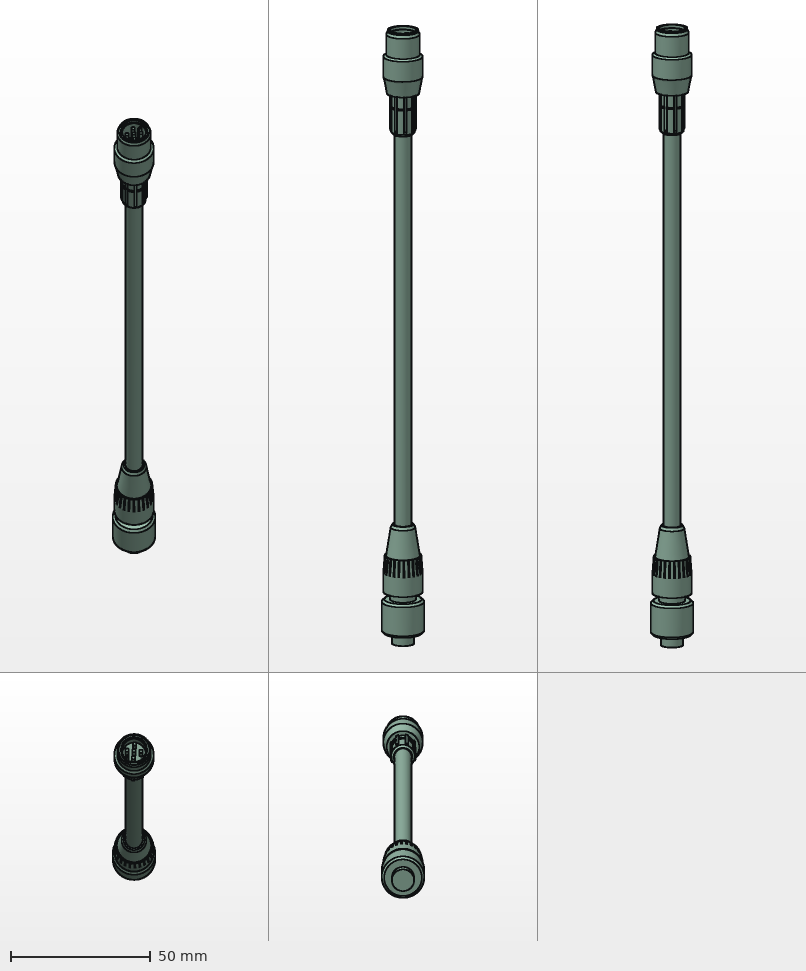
import cadquery as cq

length = 228.6
cable_diameter = 6.2

rim_diameter = 11.0
rim_height = 0.5
rim_chamfer_height = 1.1
barrel_diameter = 12.1
barrel_bottom = 219.5
collar_diameter = 14.2
collar_chamfer_height = 0.7
collar_bottom = 211.3
skirt_top_diameter = 13.7
skirt_top = 210.5
skirt_bottom_diameter = 11.7
skirt_bottom = 205.0

socket_diameter = 8.5
socket_depth = 9.0
socket_mouth_diameter = 9.4
socket_mouth_depth = 1.1
pin_diameter = 1.28
pin_circle_diameter = 5.0
outer_pin_count = 4
first_pin_angle = 45
pin_recess = 1.8
key_width = 0.65
key_height = 1.5

grip_bottom = 189.8
grip_end_diameter = 6.6
grip_core_diameter = 8.5
grip_chamfer_height = 1.0
grip_ring_diameter = 9.1
grip_ring_height = 0.5
grip_ring_top = 200.3
grip_rib_diameter = 9.4
grip_rib_end_diameter = 8.5
grip_rib_taper_height = 1.1
grip_rib_width = 1.0
grip_rib_count = 8

boot_top = 44.4
boot_end_diameter = 7.5
boot_neck_diameter = 9.0
boot_chamfer_height = 1.1
boot_diameter = 14.2
boot_cone_bottom = 26.5
boot_bottom = 19.2
neck_diameter = 9.4
nut_top = 16.5
nut_diameter = 15.3
nut_chamfer = 1.0
nut_bottom = 4.0
tip_diameter = 8.0

boot_rib_top = 32.7
boot_rib_top_diameter = 13.3
boot_rib_width = 1.4
boot_rib_count = 24


def turned(points):
    """Solid of revolution about Z from (diameter, z) points listed from bottom to top."""
    outline = [(diameter / 2, z) for diameter, z in points]
    axis_bottom = (0, outline[0][1])
    axis_top = (0, outline[-1][1])
    section = cq.Workplane("XZ").polyline([axis_bottom, *outline, axis_top]).close()
    return section.revolve(360, (0, 0, 0), (0, 1, 0))


def ribs(count, width, envelope_points):
    """Upright radial ribs, evenly spread around Z and trimmed to a turned envelope."""
    radial_length = max(diameter for diameter, z in envelope_points)
    bottom = envelope_points[0][1]
    top = envelope_points[-1][1]
    blades = (
        cq.Workplane("XY", origin=(0, 0, bottom))
        .polarArray(radial_length / 2, 0, 360, count)
        .rect(radial_length, width)
        .extrude(top - bottom)
    )
    return blades.intersect(turned(envelope_points))


nut_face_diameter = nut_diameter - 2 * nut_chamfer
grip_core_bottom = grip_bottom + grip_chamfer_height

body = turned([
    (tip_diameter, 0),
    (tip_diameter, nut_bottom),
    (nut_face_diameter, nut_bottom),
    (nut_diameter, nut_bottom + nut_chamfer),
    (nut_diameter, nut_top - nut_chamfer),
    (nut_face_diameter, nut_top),
    (neck_diameter, nut_top),
    (neck_diameter, boot_bottom),
    (boot_diameter, boot_bottom),
    (boot_diameter, boot_cone_bottom),
    (boot_neck_diameter, boot_top - boot_chamfer_height),
    (boot_end_diameter, boot_top),
    (cable_diameter, boot_top),
    (cable_diameter, grip_bottom),
    (grip_end_diameter, grip_bottom),
    (grip_core_diameter, grip_core_bottom),
    (grip_core_diameter, grip_ring_top - grip_ring_height),
    (grip_ring_diameter, grip_ring_top - grip_ring_height),
    (grip_ring_diameter, grip_ring_top),
    (grip_core_diameter, grip_ring_top),
    (grip_core_diameter, skirt_bottom),
    (skirt_bottom_diameter, skirt_bottom),
    (skirt_top_diameter, skirt_top),
    (collar_diameter, collar_bottom),
    (collar_diameter, barrel_bottom - collar_chamfer_height),
    (barrel_diameter, barrel_bottom),
    (barrel_diameter, length - rim_height - rim_chamfer_height),
    (rim_diameter, length - rim_height),
    (rim_diameter, length),
])

grip_ribs = ribs(grip_rib_count, grip_rib_width, [
    (grip_rib_end_diameter, grip_core_bottom),
    (grip_rib_diameter, grip_core_bottom + grip_rib_taper_height),
    (grip_rib_diameter, skirt_bottom),
])
boot_ribs = ribs(boot_rib_count, boot_rib_width, [
    (boot_diameter, boot_cone_bottom),
    (boot_rib_top_diameter, boot_rib_top),
])
body = body.union(grip_ribs).union(boot_ribs)

pin_length = socket_depth - pin_recess
socket_floor = cq.Workplane("XY", origin=(0, 0, length - socket_depth))

socket = socket_floor.circle(socket_diameter / 2).extrude(socket_depth)
socket_mouth = (
    cq.Workplane("XY", origin=(0, 0, length - socket_mouth_depth))
    .circle(socket_mouth_diameter / 2)
    .extrude(socket_mouth_depth)
)
outer_pins = (
    socket_floor
    .polarArray(pin_circle_diameter / 2, first_pin_angle, 360, outer_pin_count)
    .circle(pin_diameter / 2)
    .extrude(pin_length)
)
center_pin = socket_floor.circle(pin_diameter / 2).extrude(pin_length)
key = socket_floor.center(0, socket_diameter / 2).rect(key_width, 2 * key_height).extrude(pin_length)

result = body.cut(socket).cut(socket_mouth).union(outer_pins).union(center_pin).union(key)